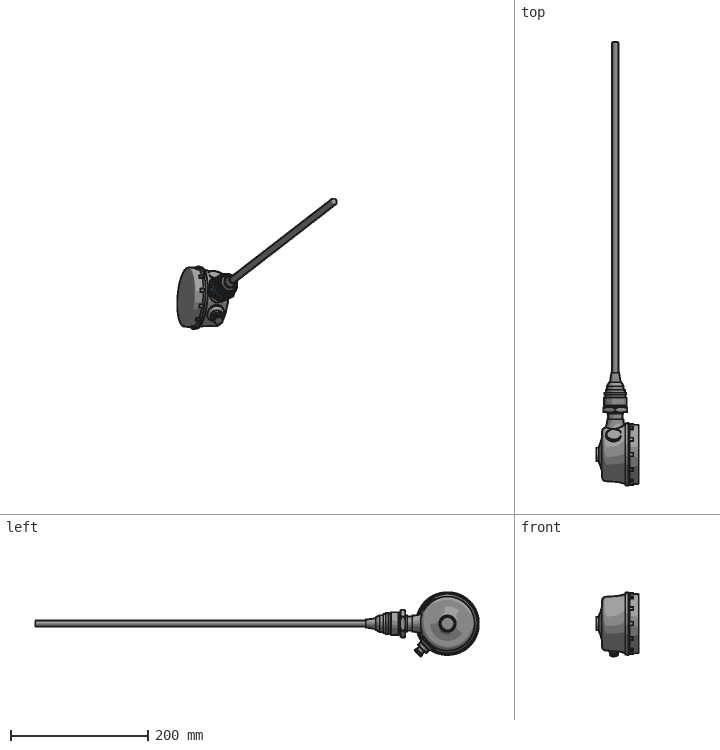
import cadquery as cq
import math


LID_RADIUS = 46.0
TOTAL_LENGTH = 646.0
PROBE_TIP = TOTAL_LENGTH - LID_RADIUS

HOUSING_BACK = -19.5
HOUSING_RADIUS = 39.5
HOUSING_EDGE_ROUND = 6.5
TAPER_START = -2.0
TAPER_START_RADIUS = 40.0
TAPER_END_RADIUS = 43.0
LID_START = 15.0

DISH_RADIUS = 25.0
DISH_TOP_RADIUS = 16.0
DISH_HEIGHT = 2.5
KNOB_BASE_RADIUS = 24.0 / 2
KNOB_BASE_HEIGHT = 2.0
KNOB_RADIUS = 10.0
KNOB_END = -28.0

LID_END = 34.0
RIM_WIDTH = 4.0
RIM_START_RADIUS = 45.0
RIM_SLOPE = 2.5
LID_BODY_RADIUS = 43.0
LID_EDGE_ROUND = 2.0
RIB_COUNT = 12
RIB_WIDTH = 5.0
RIB_LENGTH = 7.0
RIB_RADIUS = 44.5

BOSS_RADIUS = 24.0 / 2
BOSS_END = 51.0
BOSS_FLARE_START = 35.0
BOSS_FLARE_RADIUS = 16.0

ENTRY_X = TAPER_START
ENTRY_ANGLE = 45.0
PLUG_RADIUS = 24.0 / 2
PLUG_CHAMFER = 1.0
PLUG_END = 41.5
GLAND_BASE_RADIUS = 13.0
GLAND_BASE_START = 41.5
GLAND_NUT_RADIUS = 17.5 / 2
GLAND_NUT_START = 46.5
GLAND_NUT_END = 52.0
GLAND_STEM_RADIUS = 5.5
GLAND_CAP_RADIUS = 6.5
GLAND_CAP_START = 58.0
GLAND_CAP_END = 61.5

NECK_RADIUS = 21.0 / 2
COLLAR_START = 59.0
COLLAR_RADIUS = 24.0 / 2
HEX_START = 61.5
HEX_END = 68.5
HEX_FLATS = 35.5
HEX_CHAMFER = 2.0
SLEEVE_RADIUS = 17.0
SLEEVE_START = 70.5
SLEEVE_END = 83.5
SLEEVE_CHAMFER = 1.0
GROOVE_RADIUS = 15.0
GROOVE_END = 86.5
RING_RADIUS = 31.5 / 2
RING_END = 90.0
STEP_RADIUS = 14.0
STEP_END = 93.5
CONE_RADIUS = 12.0
CONE_START = 99.0
CONE_MIDDLE_RADIUS = 11.0
CONE_MIDDLE = 101.5
CONE_TOP_RADIUS = 9.0
CONE_TOP_END = 104.5
SOCKET_RADIUS = 16.0 / 2
SOCKET_TOP = 117.0
SOCKET_TOP_RADIUS = 6.15
SOCKET_END = 119.0
ROD_RADIUS = 4.85
TIP_ROUND = 2.5


def cylinder_y(radius, start, end):
    """Cylinder on the Y axis between two places."""
    return cq.Workplane("XZ", origin=(0, start, 0)).circle(radius).extrude(start - end)


def revolve_y(points):
    """Turned shape on the Y axis from (radius, y) points."""
    return cq.Workplane("XY").polyline(points).close().revolve(360, (0, 0, 0), (0, 1, 0))


def make_housing_shell():
    """Drum of the head with its rounded back, tapering outwards to the lid."""
    diagonal = HOUSING_EDGE_ROUND * math.sqrt(0.5)
    round_centre = (HOUSING_BACK + HOUSING_EDGE_ROUND, HOUSING_RADIUS - HOUSING_EDGE_ROUND)
    dish_top = HOUSING_BACK - DISH_HEIGHT
    knob_base_top = dish_top - KNOB_BASE_HEIGHT
    return (
        cq.Workplane("XY")
        .moveTo(KNOB_END, 0)
        .lineTo(KNOB_END, KNOB_RADIUS)
        .lineTo(knob_base_top, KNOB_RADIUS)
        .lineTo(knob_base_top, KNOB_BASE_RADIUS)
        .lineTo(dish_top, DISH_TOP_RADIUS)
        .lineTo(HOUSING_BACK, DISH_RADIUS)
        .lineTo(HOUSING_BACK, round_centre[1])
        .threePointArc(
            (round_centre[0] - diagonal, round_centre[1] + diagonal),
            (round_centre[0], HOUSING_RADIUS),
        )
        .lineTo(TAPER_START, TAPER_START_RADIUS)
        .tangentArcPoint((LID_START, TAPER_END_RADIUS), relative=False)
        .lineTo(LID_START, 0)
        .close()
        .revolve(360, (0, 0, 0), (1, 0, 0))
    )


def make_lid():
    """Stepped lid with evenly spaced grip ribs behind its rim."""
    rim_end = LID_START + RIM_WIDTH
    lid = (
        cq.Workplane("XY")
        .moveTo(LID_START, 0)
        .lineTo(LID_START, RIM_START_RADIUS)
        .lineTo(rim_end, LID_RADIUS)
        .lineTo(rim_end + RIM_SLOPE, LID_BODY_RADIUS)
        .lineTo(LID_END, LID_BODY_RADIUS)
        .lineTo(LID_END, 0)
        .close()
        .revolve(360, (0, 0, 0), (1, 0, 0))
        .faces(">X")
        .edges()
        .fillet(LID_EDGE_ROUND)
    )
    rib_root = LID_BODY_RADIUS / 2
    rib = (
        cq.Workplane("XZ", origin=(0, RIB_WIDTH / 2, 0))
        .moveTo(rim_end - RIM_WIDTH / 2, rib_root)
        .lineTo(rim_end - RIM_WIDTH / 2, RIB_RADIUS)
        .lineTo(rim_end + RIB_LENGTH, RIB_RADIUS)
        .lineTo(rim_end + RIB_LENGTH, rib_root)
        .close()
        .extrude(RIB_WIDTH)
    )
    for index in range(RIB_COUNT):
        lid = lid.union(rib.rotate((0, 0, 0), (1, 0, 0), index * 360 / RIB_COUNT))
    return lid


def make_probe_boss():
    """Round side boss that carries the probe, flared where it leaves the drum."""
    flare_rise = BOSS_FLARE_RADIUS - BOSS_RADIUS
    flare_height = BOSS_END - BOSS_FLARE_START
    flare_arc = (flare_rise**2 + flare_height**2) / (2 * flare_rise)
    return (
        cq.Workplane("XY")
        .moveTo(0, BOSS_END)
        .lineTo(BOSS_RADIUS, BOSS_END)
        .radiusArc((BOSS_FLARE_RADIUS, BOSS_FLARE_START), -flare_arc)
        .lineTo(BOSS_FLARE_RADIUS, 0)
        .lineTo(0, 0)
        .close()
        .revolve(360, (0, 0, 0), (0, 1, 0))
    )


def place_entry(entry, angle):
    """Tilts an entry made on the Y axis and moves it to its place along X."""
    return entry.rotate((0, 0, 0), (1, 0, 0), angle).translate((ENTRY_X, 0, 0))


def make_plug():
    """Closed upper cable entry with a chamfered end."""
    plug = cylinder_y(PLUG_RADIUS, 0, PLUG_END).faces(">Y").chamfer(PLUG_CHAMFER)
    return place_entry(plug, ENTRY_ANGLE)


def make_gland():
    """Lower cable gland: flared base, nut, stem and cap."""
    gland = revolve_y(
        [
            (0, 0),
            (GLAND_BASE_RADIUS, 0),
            (GLAND_BASE_RADIUS, GLAND_BASE_START),
            (GLAND_NUT_RADIUS, GLAND_NUT_START),
            (GLAND_NUT_RADIUS, GLAND_NUT_END),
            (GLAND_STEM_RADIUS, GLAND_NUT_END),
            (GLAND_STEM_RADIUS, GLAND_CAP_START),
            (GLAND_CAP_RADIUS, GLAND_CAP_START),
            (GLAND_CAP_RADIUS, GLAND_CAP_END),
            (0, GLAND_CAP_END),
        ]
    )
    return place_entry(gland, -ENTRY_ANGLE)


def make_head():
    return (
        make_housing_shell()
        .union(make_lid())
        .union(make_probe_boss())
        .union(make_plug())
        .union(make_gland())
    )


def make_hex():
    """Hexagonal collar with flats facing X and its corners chamfered on both ends."""
    corner_diameter = HEX_FLATS / math.cos(math.pi / 6)
    height = HEX_END - HEX_START
    prism = (
        cq.Workplane("XZ", origin=(0, HEX_END, 0))
        .transformed(rotate=(0, 0, 90))
        .polygon(6, corner_diameter)
        .extrude(height)
    )
    chamfered = cylinder_y(corner_diameter / 2, HEX_START, HEX_END).edges().chamfer(HEX_CHAMFER)
    return prism.intersect(chamfered)


def make_probe():
    """Process fitting and its long rod, standing on the end of the head's boss."""
    fitting = revolve_y(
        [
            (0, BOSS_END),
            (NECK_RADIUS, BOSS_END),
            (NECK_RADIUS, COLLAR_START),
            (COLLAR_RADIUS, COLLAR_START),
            (COLLAR_RADIUS, HEX_START),
            (GROOVE_RADIUS, HEX_START),
            (GROOVE_RADIUS, SLEEVE_START),
            (SLEEVE_RADIUS - SLEEVE_CHAMFER, SLEEVE_START),
            (SLEEVE_RADIUS, SLEEVE_START + SLEEVE_CHAMFER),
            (SLEEVE_RADIUS, SLEEVE_END - SLEEVE_CHAMFER),
            (SLEEVE_RADIUS - SLEEVE_CHAMFER, SLEEVE_END),
            (GROOVE_RADIUS, SLEEVE_END),
            (GROOVE_RADIUS, GROOVE_END),
            (RING_RADIUS, GROOVE_END),
            (RING_RADIUS, RING_END),
            (STEP_RADIUS, RING_END),
            (STEP_RADIUS, STEP_END),
            (CONE_RADIUS, STEP_END),
            (CONE_RADIUS, CONE_START),
            (CONE_MIDDLE_RADIUS, CONE_MIDDLE),
            (CONE_TOP_RADIUS, CONE_TOP_END),
            (SOCKET_RADIUS, CONE_TOP_END),
            (SOCKET_TOP_RADIUS, SOCKET_TOP),
            (SOCKET_TOP_RADIUS, SOCKET_END),
            (ROD_RADIUS, SOCKET_END),
            (ROD_RADIUS, PROBE_TIP),
            (0, PROBE_TIP),
        ]
    )
    fitting = fitting.faces(">Y").edges().fillet(TIP_ROUND)
    return fitting.union(make_hex())


head = make_head()
probe = make_probe()

result = cq.Compound.makeCompound([head.val(), probe.val()])